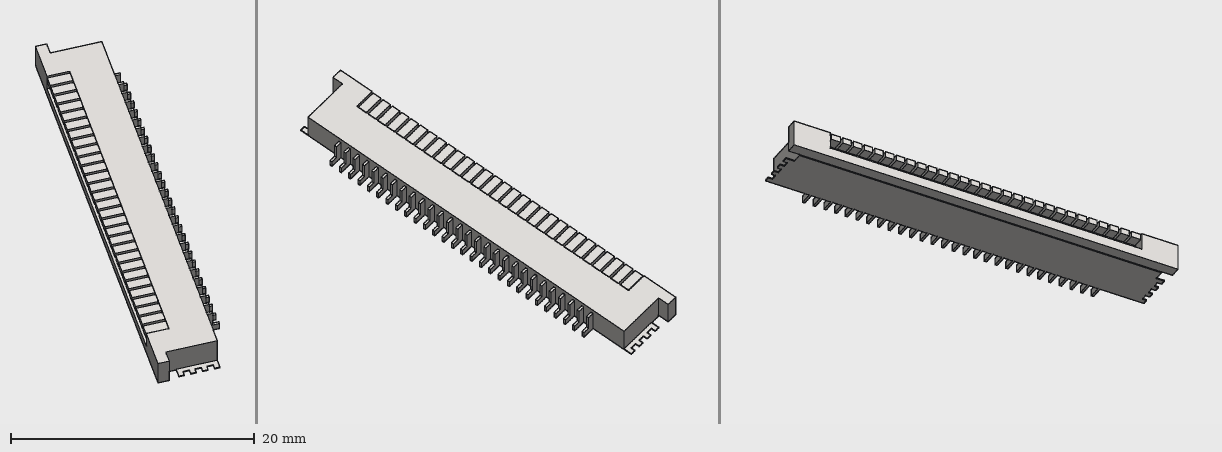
import cadquery as cq

LENGTH = 35.92
DEPTH = 6.55
HEIGHT = 2.55

BODY_LENGTH = 33.87
BODY_DEPTH = 5.4
FRONT_BAR_DEPTH = 0.97
FRONT_BAR_LIFT = 0.1

OPENING_LENGTH = 29.13
OPENING_DEPTH = FRONT_BAR_DEPTH
LIP_TOP = 0.97

COMB_BACK = 1.95
TOOTH_TOP = 2.45
TOOTH_BOTTOM = 1.9
COMB_END_GAP = 0.1

CONTACT_COUNT = 28
CONTACT_SPAN = 27.0
CONTACT_WIDTH = 0.2
CONTACT_TOP = 2.12
CONTACT_BACK = 5.95
TAIL_TOP = 0.65
PITCH = CONTACT_SPAN / (CONTACT_COUNT - 1)
CONTACT_CENTRES = [-CONTACT_SPAN / 2 + i * PITCH for i in range(CONTACT_COUNT)]

TAB_ROOT = 17.3
TAB_REACH = 17.7
TAB_THICKNESS = 0.1
TAB_FRONT = 1.85
FINGER_COUNT = 4
FINGER_WIDTH = 0.45
FINGER_PITCH = (BODY_DEPTH - TAB_FRONT - FINGER_WIDTH) / (FINGER_COUNT - 1)


def block(x_range, y_range, z_range):
    """Axis-aligned box spanning the given (low, high) pairs."""
    x0, x1 = x_range
    y0, y1 = y_range
    z0, z1 = z_range
    return cq.Workplane("XY").box(x1 - x0, y1 - y0, z1 - z0, centered=False).translate((x0, y0, z0))


def around(centre, width):
    """(low, high) pair of the given width about a centre."""
    return (centre - width / 2, centre + width / 2)


def make_housing():
    """Body behind a longer front bar, hollowed by the cable opening and the pocket for the comb."""
    body = block(around(0, BODY_LENGTH), (FRONT_BAR_DEPTH, BODY_DEPTH), (0, HEIGHT))
    front_bar = block(around(0, LENGTH), (0, FRONT_BAR_DEPTH), (FRONT_BAR_LIFT, HEIGHT))
    opening = block(around(0, OPENING_LENGTH), (0, OPENING_DEPTH), (LIP_TOP, HEIGHT))
    comb_pocket = block(around(0, OPENING_LENGTH), (0, COMB_BACK), (TOOTH_BOTTOM, HEIGHT))
    return body.union(front_bar).cut(opening).cut(comb_pocket)


def make_comb():
    """Row of teeth separated by one slot per contact."""
    comb_length = OPENING_LENGTH - 2 * COMB_END_GAP
    along_y = (0, COMB_BACK)
    along_z = (TOOTH_BOTTOM, TOOTH_TOP)
    comb = block(around(0, comb_length), along_y, along_z)
    for x in CONTACT_CENTRES:
        comb = comb.cut(block(around(x, CONTACT_WIDTH), along_y, along_z))
    return comb


def make_contact(x):
    """Upright blade against the rear of the body with a low solder tail."""
    across_x = around(x, CONTACT_WIDTH)
    upright = block(across_x, (BODY_DEPTH, CONTACT_BACK), (0, CONTACT_TOP))
    tail = block(across_x, (BODY_DEPTH, DEPTH), (0, TAIL_TOP))
    return upright.union(tail)


def make_right_tab():
    """Thin plate on the side of the body with fingers reaching outwards."""
    along_z = (0, TAB_THICKNESS)
    body_side = BODY_LENGTH / 2
    tab = block((body_side, TAB_ROOT), (TAB_FRONT, BODY_DEPTH), along_z)
    for i in range(FINGER_COUNT):
        front = TAB_FRONT + i * FINGER_PITCH
        tab = tab.union(block((body_side, TAB_REACH), (front, front + FINGER_WIDTH), along_z))
    return tab


right_tab = make_right_tab()
result = make_housing().union(make_comb()).union(right_tab).union(right_tab.mirror("YZ"))
for contact_centre in CONTACT_CENTRES:
    result = result.union(make_contact(contact_centre))